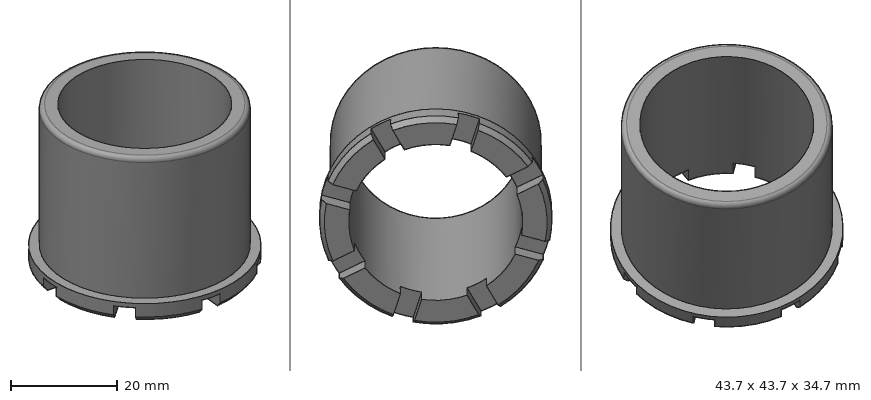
import cadquery as cq

flange_diameter = 43.7
body_diameter = 39.7
bore_diameter = 32.7
total_height = 34.7
flange_height = 4.0
top_fillet = 1.0
rim_chamfer_height = 1.1
rim_chamfer_inset = 0.9
slot_count = 8
slot_width = 4.15
slot_height = 3.05


def make_flange():
    """Bottom flange with a chamfered lower rim."""
    flange = cq.Workplane("XY").circle(flange_diameter / 2).extrude(flange_height)
    return flange.faces("<Z").edges().chamfer(rim_chamfer_height, rim_chamfer_inset)


def make_body():
    """Plain cylindrical sleeve with a rounded top edge."""
    body = cq.Workplane("XY").circle(body_diameter / 2).extrude(total_height)
    return body.faces(">Z").edges().fillet(top_fillet)


def make_bore():
    """Through bore."""
    return cq.Workplane("XY").circle(bore_diameter / 2).extrude(total_height)


def make_slot(angle):
    """Radial spanner slot, open at the bottom and running from the axis past the rim."""
    slot = cq.Workplane("XY").box(
        flange_diameter, slot_width, slot_height, centered=(False, True, False)
    )
    return slot.rotate((0, 0, 0), (0, 0, 1), angle)


result = make_flange().union(make_body()).cut(make_bore())
for index in range(slot_count):
    result = result.cut(make_slot(index * 360 / slot_count))